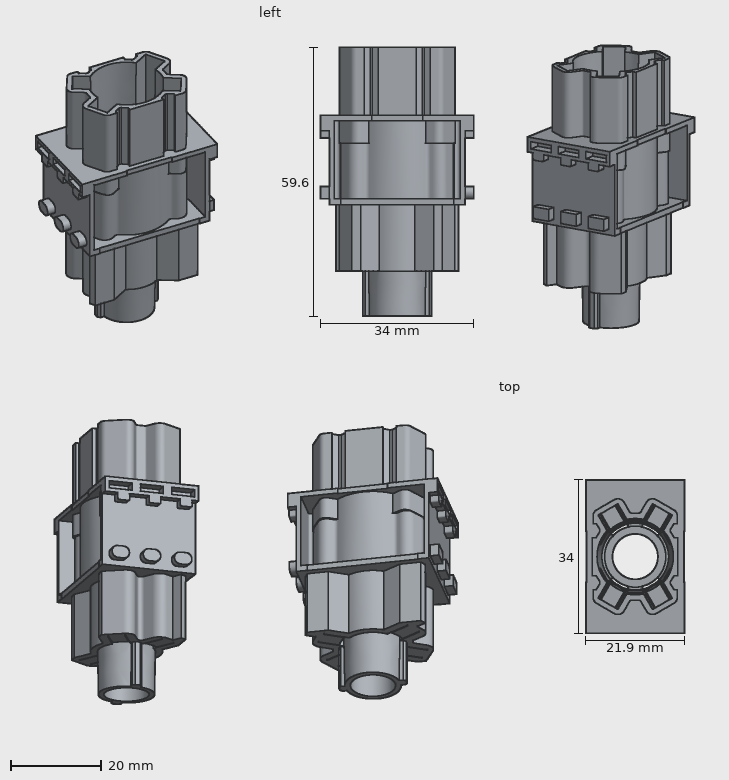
import cadquery as cq
import math

HEIGHT = 59.6
SOCKET_Z = 9.95
FRAME_Z = 24.7
WINDOW_Z = 26.05
LEDGE_Z = 38.3
FLANGE_Z = 41.05
WINDOW_TOP_Z = 43.3
FRAME_TOP_Z = 44.5
POST_Z = FRAME_TOP_Z

FRAME_X = 21.9
FLANGE_Y = 34.0
FRAME_Y = 30.05
WINDOW_Y = 27.9
TOP_RECESS, TOP_RECESS_Y = 0.25, 11.3
BOTTOM_RECESS, BOTTOM_RECESS_Y = 0.1, 25.05

FITTING_PITCH = 7.35
SLOT_WIDTH, SLOT_HEIGHT, SLOT_DEPTH = 5.35, 1.65, 2.7
SLOT_Z = 42.75
TAB_WIDTH, TAB_HEIGHT, TAB_ROUND = 2.8, 1.6, 0.35
TAB_SHIFT = 0.7
PEG_WIDTH, PEG_HEIGHT = 4.1, 2.75
PEG_Z = 27.35

ARM_ANGLE = 60.0

PLUG_ARM_HALF, PLUG_REACH, PLUG_ROUND = 3.9, 13.25, 1.6
PLUG_SIDE_X = 9.3
PLUG_SIDE_ROUND = 1.45
PLUG_NOTCH_Y = 9.65
PLUG_NOTCH_ROUND = 0.5
PAD_X, PAD_HALF_Y = 9.5, 4.25
GROOVE_EDGE_X, GROOVE_FLOOR_X = 8.65, 7.8
GROOVE_END_Y = 7.35
GROOVE_FLOOR_HALF = 0.25

CORE_R = 10.25
CORE_ARM_HALF = 3.4
CORE_BLEND = 1.0
WEB_HALF_X = 3.3
WEB_ROUND = 0.65

BODY_R = 8.0
BODY_ARM_HALF, BODY_REACH, BODY_ROUND = 4.05, 13.35, 2.2
BODY_SIDE_X = 9.35
BODY_NOTCH_ROUND = 0.9
KEY_REACH, KEY_OFFSET = 15.8, 0.2

BORE_R = 5.0
CAVITY_TOP_R, CAVITY_FLOOR_R = 8.45, 7.4
CAVITY_FLOOR = 1.8
POCKET_END = 12.05
POCKET_HALF = 2.5
GAP_BOTTOM_HALF = 2.0
POST_HALF = 1.85
TUBE_R = 6.25
TUBE_TOP_Z = 29.8
TUBE_DRAFT = 1.0
RIB_HALF, RIB_TIP_HALF = 1.15, 0.6
RIB_SHOULDER_Y, RIB_TIP_Y = 7.1, 7.6


def box(x0, x1, y0, y1, z0, z1):
    """Axis-aligned box between two corners."""
    return cq.Workplane("XY").box(x1 - x0, y1 - y0, z1 - z0, centered=False).translate((x0, y0, z0))


def cylinder(radius, z0, z1):
    return cq.Workplane("XY").workplane(offset=z0).circle(radius).extrude(z1 - z0)


def cone(radius0, radius1, z0, z1):
    profile = [(0, z0), (radius0, z0), (radius1, z1), (0, z1)]
    return cq.Workplane("XZ").polyline(profile).close().revolve(360, (0, 0, 0), (0, 1, 0))


def turn_to_arm(shape):
    """Turn a shape lying along +X onto the arm in the +X +Y quadrant."""
    return shape.rotate((0, 0, 0), (0, 0, 1), ARM_ANGLE)


def in_four_quadrants(shape):
    half = shape.union(shape.mirror("YZ"))
    return half.union(half.mirror("XZ"))


def arm_point(along, across):
    """Plan point of the +X +Y arm; across is positive towards the Y axis."""
    angle = math.radians(ARM_ANGLE)
    x = along * math.cos(angle) - across * math.sin(angle)
    y = along * math.sin(angle) + across * math.cos(angle)
    return x, y


def vertical_edge(corner, z0, z1):
    """Selector for the vertical edge standing at a plan corner."""
    return cq.NearestToPointSelector((corner[0], corner[1], (z0 + z1) / 2))


def frame():
    half_x = FRAME_X / 2
    half_y = FRAME_Y / 2
    half_window = WINDOW_Y / 2
    shape = box(-half_x, half_x, -half_y, half_y, FRAME_Z, FRAME_TOP_Z)
    shape = shape.union(box(-half_x, half_x, -FLANGE_Y / 2, FLANGE_Y / 2, FLANGE_Z, FRAME_TOP_Z))
    shape = shape.cut(box(-half_x, half_x, -half_window, half_window, WINDOW_Z, WINDOW_TOP_Z))
    recesses = [
        (TOP_RECESS, TOP_RECESS_Y / 2, WINDOW_TOP_Z, FRAME_TOP_Z),
        (BOTTOM_RECESS, BOTTOM_RECESS_Y / 2, FRAME_Z, WINDOW_Z),
    ]
    for depth, recess_y, z0, z1 in recesses:
        for x0 in (-half_x, half_x - depth):
            shape = shape.cut(box(x0, x0 + depth, -recess_y, recess_y, z0, z1))
    return shape


def plug():
    """Upper shell outline, mirrored from one quadrant."""
    angle = math.radians(ARM_ANGLE)
    notch_along = (PLUG_NOTCH_Y - PLUG_ARM_HALF * math.cos(angle)) / math.sin(angle)
    side_corner_y = (PLUG_REACH - PLUG_SIDE_X * math.cos(angle)) / math.sin(angle)
    side_corner = (PLUG_SIDE_X, side_corner_y)
    arm_corner = arm_point(PLUG_REACH, PLUG_ARM_HALF)
    notch_corner = arm_point(notch_along, PLUG_ARM_HALF)
    groove_mid_y = (PAD_HALF_Y + GROOVE_END_Y) / 2
    outline = [
        (0, 0),
        (PAD_X, 0),
        (PAD_X, PAD_HALF_Y),
        (GROOVE_EDGE_X, PAD_HALF_Y),
        (GROOVE_FLOOR_X, groove_mid_y - GROOVE_FLOOR_HALF),
        (GROOVE_FLOOR_X, groove_mid_y + GROOVE_FLOOR_HALF),
        (GROOVE_EDGE_X, GROOVE_END_Y),
        (PLUG_SIDE_X, GROOVE_END_Y),
        side_corner,
        arm_corner,
        notch_corner,
        (0, PLUG_NOTCH_Y),
    ]
    plan = cq.Workplane("XY").workplane(offset=FRAME_TOP_Z)
    quarter = plan.polyline(outline).close().extrude(HEIGHT - FRAME_TOP_Z)
    rounds = [
        (side_corner, PLUG_SIDE_ROUND),
        (arm_corner, PLUG_ROUND),
        (notch_corner, PLUG_NOTCH_ROUND),
    ]
    for corner, radius in rounds:
        edge = vertical_edge(corner, FRAME_TOP_Z, HEIGHT)
        quarter = quarter.edges(edge).fillet(radius)
    return in_four_quadrants(quarter)


def core():
    """Round core with four arms, narrower and more rounded below the ledge."""
    upper_arm = box(0, PLUG_REACH, -PLUG_ARM_HALF, PLUG_ARM_HALF, LEDGE_Z, WINDOW_TOP_Z)
    upper_arm = upper_arm.edges("|Z and >X").fillet(PLUG_ROUND)
    lower_arm = box(0, BODY_REACH, -CORE_ARM_HALF, CORE_ARM_HALF, WINDOW_Z, LEDGE_Z)
    lower_arm = lower_arm.edges("|Z and >X").fillet(BODY_ROUND)
    lower = cylinder(CORE_R, WINDOW_Z, LEDGE_Z).union(in_four_quadrants(turn_to_arm(lower_arm)))
    joint_x, joint_y = arm_point(math.sqrt(CORE_R**2 - CORE_ARM_HALF**2), -CORE_ARM_HALF)
    for x in (-joint_x, joint_x):
        for y in (-joint_y, joint_y):
            joint = vertical_edge((x, y), WINDOW_Z, LEDGE_Z)
            lower = lower.edges(joint).fillet(CORE_BLEND)
    upper = cylinder(CORE_R, LEDGE_Z, WINDOW_TOP_Z).union(in_four_quadrants(turn_to_arm(upper_arm)))
    return lower.union(upper)


def webs():
    """Webs between the core and the end walls, hollowed to a half round at each end."""
    wall_y = WINDOW_Y / 2
    shape = box(-WEB_HALF_X, WEB_HALF_X, -wall_y, wall_y, WINDOW_Z, WINDOW_TOP_Z)
    hollow = cylinder(WEB_ROUND, WINDOW_Z, WINDOW_TOP_Z)
    for x in (-WEB_HALF_X, WEB_HALF_X):
        for y in (WEB_ROUND - wall_y, wall_y - WEB_ROUND):
            shape = shape.cut(hollow.translate((x, y, 0)))
    return shape


def lower_body():
    arm = box(0, BODY_REACH, -BODY_ARM_HALF, BODY_ARM_HALF, SOCKET_Z, FRAME_Z)
    arm = turn_to_arm(arm.edges("|Z and >X and >Y").fillet(BODY_ROUND))
    shape = cylinder(BODY_R, SOCKET_Z, FRAME_Z).union(in_four_quadrants(arm))
    notch_y = BODY_ARM_HALF / math.cos(math.radians(ARM_ANGLE))
    for y in (-notch_y, notch_y):
        notch = vertical_edge((0, y), SOCKET_Z, FRAME_Z)
        shape = shape.edges(notch).fillet(BODY_NOTCH_ROUND)
    key = turn_to_arm(box(0, KEY_REACH, -BODY_ARM_HALF, -KEY_OFFSET, SOCKET_Z, FRAME_Z))
    shape = shape.union(key).union(key.mirror("XZ"))
    limit = box(-BODY_SIDE_X, BODY_SIDE_X, -FRAME_Y / 2, FRAME_Y / 2, SOCKET_Z, FRAME_Z)
    return shape.intersect(limit)


def tube():
    top_r = TUBE_R + TUBE_TOP_Z * math.tan(math.radians(TUBE_DRAFT))
    return cone(TUBE_R, top_r, 0, TUBE_TOP_Z)


def tube_ribs():
    profile = [
        (-RIB_HALF, 0),
        (-RIB_HALF, RIB_SHOULDER_Y),
        (-RIB_TIP_HALF, RIB_TIP_Y),
        (RIB_TIP_HALF, RIB_TIP_Y),
        (RIB_HALF, RIB_SHOULDER_Y),
        (RIB_HALF, 0),
    ]
    rib = cq.Workplane("XY").polyline(profile).close().extrude(SOCKET_Z)
    return rib.union(rib.mirror("XZ"))


def cavity():
    """Deep tapered cavity around the tube, with a pocket above the post of each arm."""
    bowl = cone(CAVITY_FLOOR_R, CAVITY_TOP_R, SOCKET_Z + CAVITY_FLOOR, HEIGHT)
    pocket = box(0, POCKET_END, -POCKET_HALF, POCKET_HALF, POST_Z, HEIGHT)
    return bowl.union(in_four_quadrants(turn_to_arm(pocket)))


def contact_gaps():
    """Tapering slits along both sides of each contact post and an opening in the floor before it."""
    section = [
        (-GAP_BOTTOM_HALF, SOCKET_Z),
        (-POCKET_HALF, POST_Z),
        (POCKET_HALF, POST_Z),
        (GAP_BOTTOM_HALF, SOCKET_Z),
    ]
    gap = cq.Workplane("YZ").polyline(section).close().extrude(POCKET_END)
    post = box(0, POCKET_END, -POST_HALF, POST_HALF, SOCKET_Z, POST_Z)
    post = post.cut(cylinder(CAVITY_FLOOR_R, SOCKET_Z, POST_Z))
    return in_four_quadrants(turn_to_arm(gap.cut(post)))


def end_fittings(side):
    """Tabs and pegs on one end wall; side is -1 for -Y and +1 for +Y."""
    y0, y1 = sorted((side * FRAME_Y / 2, side * FLANGE_Y / 2))
    fittings = cq.Workplane("XY")
    for index in (-1, 0, 1):
        x = index * FITTING_PITCH
        tab_x = x + TAB_SHIFT
        tab = box(tab_x - TAB_WIDTH / 2, tab_x + TAB_WIDTH / 2, y0, y1, FLANGE_Z - TAB_HEIGHT, FLANGE_Z)
        fittings = fittings.union(tab.edges("|Y and <Z").fillet(TAB_ROUND))
        peg_z0 = PEG_Z - PEG_HEIGHT / 2
        peg = box(x - PEG_WIDTH / 2, x + PEG_WIDTH / 2, y0, y1, peg_z0, peg_z0 + PEG_HEIGHT)
        if side < 0:
            rounded = cq.Workplane("XZ", origin=(x, y1, PEG_Z)).slot2D(PEG_WIDTH, PEG_HEIGHT)
            peg = rounded.extrude(y1 - y0)
        fittings = fittings.union(peg)
    return fittings


def marker_slots():
    shape = cq.Workplane("XY")
    for side in (-1, 1):
        y0, y1 = sorted((side * FLANGE_Y / 2, side * (FLANGE_Y / 2 - SLOT_DEPTH)))
        for index in (-1, 0, 1):
            x0 = index * FITTING_PITCH - SLOT_WIDTH / 2
            z0 = SLOT_Z - SLOT_HEIGHT / 2
            shape = shape.union(box(x0, x0 + SLOT_WIDTH, y0, y1, z0, z0 + SLOT_HEIGHT))
    return shape


result = frame().union(core()).union(webs()).union(plug()).union(lower_body())
result = result.cut(cavity()).cut(contact_gaps())
result = result.union(tube()).union(tube_ribs())
result = result.union(end_fittings(-1)).union(end_fittings(1)).cut(marker_slots())
result = result.cut(cylinder(BORE_R, 0, HEIGHT))